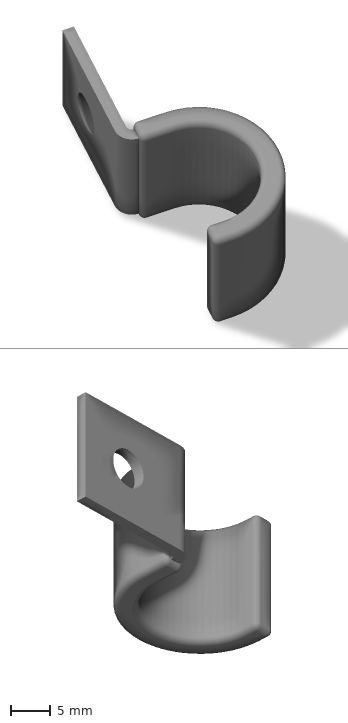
import cadquery as cq

inner_radius = 7.92
wall = 3.15
outer_radius = inner_radius + wall
cushion_height = 17.45
edge_round = 0.8
short_leg = 2.4

strap_thickness = wall - 2 * edge_round
strap_width = cushion_height - 2 * edge_round
bend_inner_radius = 0.8
bend_outer_radius = bend_inner_radius + strap_thickness

overall_length = 39.6
overall_depth = 18.18
strap_left = outer_radius - overall_length
strap_back = outer_radius - overall_depth
long_leg_end = strap_back + bend_outer_radius

hole_diameter = 5.6
hole_from_end = 7.9


def make_cushion():
    """Half ring with two straight legs, rounded on every outer edge."""
    body = (
        cq.Workplane("XY")
        .moveTo(-outer_radius, long_leg_end)
        .lineTo(-outer_radius, 0)
        .threePointArc((0, outer_radius), (outer_radius, 0))
        .lineTo(outer_radius, -short_leg)
        .lineTo(inner_radius, -short_leg)
        .lineTo(inner_radius, 0)
        .threePointArc((0, inner_radius), (-inner_radius, 0))
        .lineTo(-inner_radius, long_leg_end)
        .close()
        .extrude(cushion_height / 2, both=True)
    )
    rounded_edges = body.faces("|Z").edges().add(body.faces("-Y").edges("|Z"))
    return rounded_edges.fillet(edge_round)


def make_strap():
    """Flat mounting tab with a quarter bend up to the long leg."""
    leg_left = -outer_radius + edge_round
    leg_right = leg_left + strap_thickness
    bend_x = leg_left - bend_inner_radius
    return (
        cq.Workplane("XY")
        .moveTo(strap_left, strap_back)
        .lineTo(bend_x, strap_back)
        .radiusArc((leg_right, long_leg_end), -bend_outer_radius)
        .lineTo(leg_left, long_leg_end)
        .radiusArc((bend_x, strap_back + strap_thickness), bend_inner_radius)
        .lineTo(strap_left, strap_back + strap_thickness)
        .close()
        .extrude(strap_width / 2, both=True)
    )


def make_screw_hole():
    """Cylinder through the full thickness of the mounting tab."""
    return (
        cq.Workplane("XZ", origin=(strap_left + hole_from_end, strap_back, 0))
        .circle(hole_diameter / 2)
        .extrude(-strap_thickness)
    )


result = make_cushion().union(make_strap()).cut(make_screw_hole())